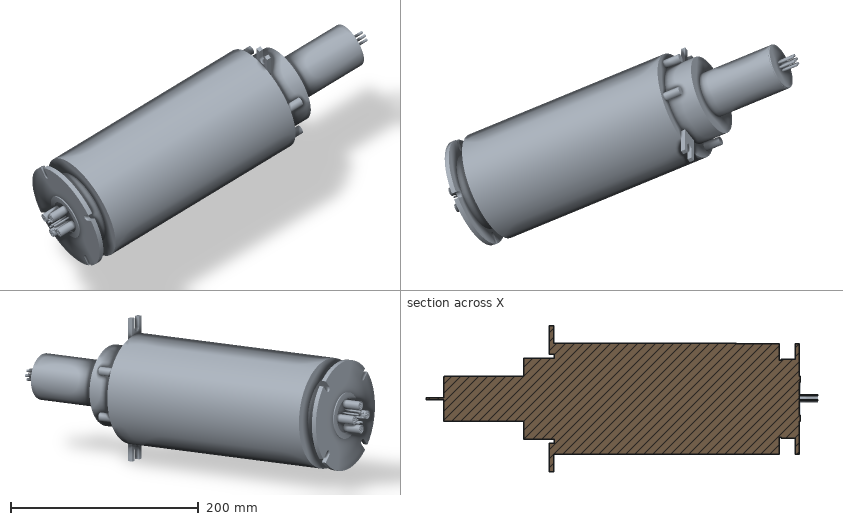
import cadquery as cq
import math

LENGTH = 418.0

REAR_END = LENGTH / 2
TUBE_REAR = 190.5
CAP_FRONT = 189.3
HUB_REAR = 105.0
DRUM_REAR = 72.5
DRUM_FRONT = -168.0
NECK_REAR = -169.5
FLANGE_REAR = -184.2
FLANGE_FRONT = -189.3
BOSS_FRONT = -190.5
FRONT_END = -LENGTH / 2

DRUM_RADIUS = 119.0 / 2
HUB_RADIUS = 44.0
NECK_RADIUS = 42.5
RELIEF_RADIUS = 41.8
TUBE_RADIUS = 25.0
CAP_RADIUS = 24.5
BOSS_RADIUS = 25.0
BOSS_BORE_RADIUS = 18.5

PITCH_RADIUS = 49.7

SLOT_WIDTH = 6.5
SLOT_ANGLES = (45, 135, 225, 315)

POST_RADIUS = 4.5
POST_LENGTH = 19.0
POST_ANGLES = (30, 150, 210, 330)

TAB_SPAN = 156.0
TAB_INNER_HEIGHT = 47.2
TAB_WIDTH = 19.0
TAB_THICKNESS = 5.0
FORK_WIDTH = 8.8
FORK_DEPTH = 16.0

LEAD_RADIUS = 4.5
LEAD_BORE_RADIUS = 3.8
LEAD_PITCH_RADIUS = 13.0
LEAD_TWIST = 2.5
LEAD_COUNT = 4
LEAD_BORE_DEPTH = 4.0
STRAND_RADIUS = 1.05
STRAND_PITCH_RADIUS = 2.5
STRAND_COUNT = 6

FRONT_WIRE_RADIUS = 1.05
FRONT_WIRE_PITCH_RADIUS = 6.3
FRONT_WIRE_COUNT = 7
REAR_WIRE_RADIUS = 1.45
REAR_WIRE_PITCH_RADIUS = 5.5
REAR_WIRE_COUNT = 6

ROOT = 2.0


def rod(radius, y_start, y_end, x=0.0, z=0.0):
    """Cylinder parallel to Y between two axial positions."""
    base = cq.Vector(x, y_start, z)
    return cq.Workplane(cq.Solid.makeCylinder(radius, y_end - y_start, base, cq.Vector(0, 1, 0)))


def polar(radius, angle):
    """X and Z of a point on a circle about the main axis; angle 0 is +X, 90 is +Z."""
    return radius * math.cos(math.radians(angle)), radius * math.sin(math.radians(angle))


def stepped_body():
    """Coaxial stages: tube with end cap, hub, drum, relieved neck, flange and boss."""
    stages = (
        (CAP_RADIUS, CAP_FRONT, TUBE_REAR),
        (TUBE_RADIUS, HUB_REAR, CAP_FRONT),
        (HUB_RADIUS, DRUM_REAR, HUB_REAR),
        (DRUM_RADIUS, DRUM_FRONT, DRUM_REAR),
        (RELIEF_RADIUS, NECK_REAR, DRUM_FRONT),
        (NECK_RADIUS, FLANGE_REAR, NECK_REAR),
        (DRUM_RADIUS, FLANGE_FRONT, FLANGE_REAR),
        (BOSS_RADIUS, BOSS_FRONT, FLANGE_FRONT),
    )
    body = rod(*stages[0])
    for stage in stages[1:]:
        body = body.union(rod(*stage))
    return body.cut(rod(BOSS_BORE_RADIUS, BOSS_FRONT, FLANGE_FRONT))


def flange_slot(angle):
    """Radial slot with a round inner end, running out through the flange rim."""
    thickness = FLANGE_REAR - FLANGE_FRONT
    length = DRUM_RADIUS - PITCH_RADIUS + ROOT
    channel = cq.Workplane("XY").box(length, thickness, SLOT_WIDTH, centered=(False, False, True))
    channel = channel.translate((PITCH_RADIUS, FLANGE_FRONT, 0))
    slot = channel.union(rod(SLOT_WIDTH / 2, FLANGE_FRONT, FLANGE_REAR, x=PITCH_RADIUS))
    return slot.rotate((0, 0, 0), (0, 1, 0), -angle)


def post(angle):
    """Round post standing beside the hub."""
    x, z = polar(PITCH_RADIUS, angle)
    return rod(POST_RADIUS, DRUM_REAR - ROOT, DRUM_REAR + POST_LENGTH, x, z)


def upper_tab():
    """Flat tab on the rear face of the drum, forked at its outer end."""
    top = TAB_SPAN / 2
    fork_radius = FORK_WIDTH / 2
    fork_centre = top - FORK_DEPTH + fork_radius
    plate = (
        cq.Workplane("XY")
        .box(TAB_WIDTH, TAB_THICKNESS, top - TAB_INNER_HEIGHT, centered=(True, False, False))
        .translate((0, DRUM_REAR, TAB_INNER_HEIGHT))
    )
    channel = (
        cq.Workplane("XY")
        .box(FORK_WIDTH, TAB_THICKNESS, top - fork_centre, centered=(True, False, False))
        .translate((0, DRUM_REAR, fork_centre))
    )
    return plate.cut(channel).cut(rod(fork_radius, DRUM_REAR, DRUM_REAR + TAB_THICKNESS, z=fork_centre))


def wire_ring(count, first_angle, pitch_radius, radius, y_start, y_end):
    """List of evenly spaced wires around the main axis, the first one at the given angle."""
    places = [polar(pitch_radius, first_angle + 360 * index / count) for index in range(count)]
    return [rod(radius, y_start, y_end, x, z) for x, z in places]


def lead(angle):
    """Thick lead: an open-ended sleeve holding a central strand and six around it."""
    x, z = polar(LEAD_PITCH_RADIUS, angle)
    bore_floor = FRONT_END + LEAD_BORE_DEPTH
    sleeve = rod(LEAD_RADIUS, FRONT_END, FLANGE_FRONT + ROOT, x, z)
    sleeve = sleeve.cut(rod(LEAD_BORE_RADIUS, FRONT_END, bore_floor, x, z))
    sleeve = sleeve.union(rod(STRAND_RADIUS, FRONT_END, bore_floor + ROOT, x, z))
    for index in range(STRAND_COUNT):
        dx, dz = polar(STRAND_PITCH_RADIUS, angle + 360 * index / STRAND_COUNT)
        sleeve = sleeve.union(rod(STRAND_RADIUS, FRONT_END, bore_floor + ROOT, x + dx, z + dz))
    return sleeve


result = stepped_body()

for slot_angle in SLOT_ANGLES:
    result = result.cut(flange_slot(slot_angle))

for post_angle in POST_ANGLES:
    result = result.union(post(post_angle))

result = result.union(upper_tab())
result = result.union(upper_tab().mirror("XY"))

for lead_index in range(LEAD_COUNT):
    result = result.union(lead(LEAD_TWIST + 360 * lead_index / LEAD_COUNT))

front_span = (FRONT_END, FLANGE_FRONT + ROOT)
front_wires = wire_ring(FRONT_WIRE_COUNT, 90, FRONT_WIRE_PITCH_RADIUS, FRONT_WIRE_RADIUS, *front_span)
front_wires.append(rod(FRONT_WIRE_RADIUS, *front_span))

rear_span = (TUBE_REAR - ROOT, REAR_END)
rear_wires = wire_ring(REAR_WIRE_COUNT, 0, REAR_WIRE_PITCH_RADIUS, REAR_WIRE_RADIUS, *rear_span)
rear_wires.append(rod(REAR_WIRE_RADIUS, *rear_span))

for wire in front_wires + rear_wires:
    result = result.union(wire)